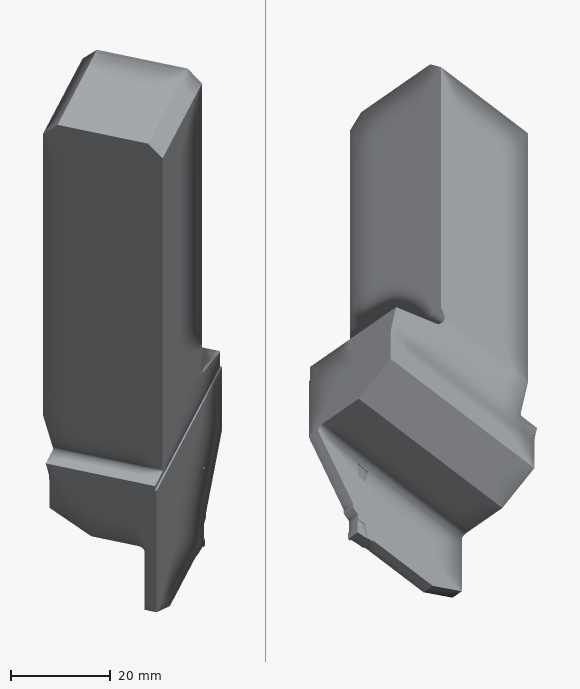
import cadquery as cq
import math

total_height = 122.2
shank_width = 25.3
shank_bottom = 38.3
top_chamfer = 3.0

head_right = 25.7
head_step = 37.2
head_left = 2.9
lean_angle = math.radians(15)
lean_radius = 9.8
lean_top = 46.3
wall_bottom = 27.0
head_underside = 21.9
underside_angle = math.radians(30)
root_radius = 1.2

head_front = -4.9
head_back = 36.9
ledge_radius = 0.5
shoulder_edge = 41.1
relief_start = 26.2
relief_depth_y = 24.3
relief_depth_z = 46.1
relief_end = 48.6

blade_thickness = 2.6
blade_left = head_right - blade_thickness
blade_bottom = 0.9
blade_slope_top = 20.7
blade_slope = math.radians(53)
blade_chamfer_top = 5.7
blade_chamfer_angle = math.radians(30)

insert_height = 20.2
insert_inner = 20.9
insert_tip = 25.3
insert_back = 26.8
insert_end_rise = 0.5
waist_start = 5.1
waist_full = 6.1
edge_overhang = 0.2
edge_depth = 0.6
edge_height = 1.7
facet_height = 3.8
facet_depth = 2.0
facet_end_depth = 2.9
facet_relief = 0.1


def extrude_along_x(outline, x_start, x_end):
    """Extrude a YZ outline from one X position to another."""
    return outline.extrude(x_end - x_start).translate((x_start, 0, 0))


def profile_along_y():
    """Full-depth silhouette of the holder in the XZ plane."""
    lean_bottom_x = head_left - lean_radius * (1 - math.cos(lean_angle))
    lean_bottom_z = lean_top - lean_bottom_x / math.tan(lean_angle)
    wall_top = lean_bottom_z - lean_radius * math.sin(lean_angle)
    half_angle = lean_angle / 2
    lean_mid = (
        head_left - lean_radius * (1 - math.cos(half_angle)),
        wall_top + lean_radius * math.sin(half_angle),
    )
    slope_run = (wall_bottom - head_underside) / math.tan(underside_angle)
    root_center = (blade_left - root_radius, head_underside - root_radius)
    root_offset = root_radius * math.sin(math.radians(45))
    return (
        cq.Workplane("XZ", origin=(0, head_back, 0))
        .moveTo(top_chamfer, total_height)
        .lineTo(0, total_height - top_chamfer)
        .lineTo(0, lean_top)
        .lineTo(lean_bottom_x, lean_bottom_z)
        .threePointArc(lean_mid, (head_left, wall_top))
        .lineTo(head_left, wall_bottom)
        .lineTo(head_left + slope_run, head_underside)
        .lineTo(root_center[0], head_underside)
        .threePointArc(
            (root_center[0] + root_offset, root_center[1] + root_offset),
            (blade_left, root_center[1]),
        )
        .lineTo(blade_left, blade_bottom)
        .lineTo(head_right, blade_bottom)
        .lineTo(head_right, head_step)
        .lineTo(shank_width, head_step)
        .lineTo(shank_width, total_height - top_chamfer)
        .lineTo(shank_width - top_chamfer, total_height)
        .close()
        .extrude(head_back - head_front)
    )


def outline_along_x():
    """Silhouette of the holder in the YZ plane, as wide as the head."""
    relief_start_z = shoulder_edge + (head_back - relief_start) * math.tan(lean_angle)
    blade_end = head_back - (blade_slope_top - blade_bottom) / math.tan(blade_slope)
    chamfer_run = (blade_chamfer_top - blade_bottom) / math.tan(blade_chamfer_angle)
    ledge_offset = ledge_radius * (1 - math.sin(math.radians(45)))
    outline = (
        cq.Workplane("YZ")
        .moveTo(0, total_height)
        .lineTo(shank_width, total_height)
        .lineTo(shank_width, relief_end)
        .threePointArc((relief_depth_y, relief_depth_z), (relief_start, relief_start_z))
        .lineTo(head_back, shoulder_edge)
        .lineTo(head_back, blade_slope_top)
        .lineTo(blade_end, blade_bottom)
        .lineTo(head_front + chamfer_run, blade_bottom)
        .lineTo(head_front, blade_chamfer_top)
        .lineTo(head_front, shank_bottom)
        .lineTo(-ledge_radius, shank_bottom)
        .threePointArc((-ledge_offset, shank_bottom + ledge_offset), (0, shank_bottom + ledge_radius))
        .close()
    )
    return extrude_along_x(outline, 0, head_right)


def insert_blank():
    """Insert plate without its cutting edges, as thick as the blade."""
    lower = [
        (insert_inner, insert_end_rise),
        (insert_tip, 0),
        (insert_tip, waist_start),
        (insert_back, waist_full),
    ]
    upper = [(y, insert_height - z) for y, z in reversed(lower)]
    outline = cq.Workplane("YZ").polyline(lower + upper).close()
    return extrude_along_x(outline, blade_left, head_right)


def lower_tip_facet():
    """Shallow recess beside the lower cutting edge."""
    outline = cq.Workplane("YZ").polyline([
        (insert_tip, 0),
        (insert_tip, facet_height),
        (insert_tip - facet_depth, facet_height),
        (insert_tip - facet_end_depth, 0),
    ]).close()
    return extrude_along_x(outline, blade_left, blade_left + facet_relief)


def lower_cutting_edge():
    """Small lip that overhangs the right face of the blade."""
    return cq.Workplane("XY").box(
        edge_overhang, edge_depth, edge_height, centered=False
    ).translate((head_right, insert_tip - edge_depth, 0))


def mirrored_to_top(shape):
    """Copy of a lower-end feature at the upper end of the insert."""
    return shape.mirror("XY", (0, 0, insert_height / 2))


def make_holder():
    return profile_along_y().intersect(outline_along_x()).cut(insert_blank())


def make_insert():
    facet = lower_tip_facet()
    lip = lower_cutting_edge()
    plate = insert_blank()
    for end_facet in (facet, mirrored_to_top(facet)):
        plate = plate.cut(end_facet)
    for end_lip in (lip, mirrored_to_top(lip)):
        plate = plate.union(end_lip)
    return plate


holder = make_holder()
insert = make_insert()
result = cq.Compound.makeCompound([holder.val(), insert.val()])